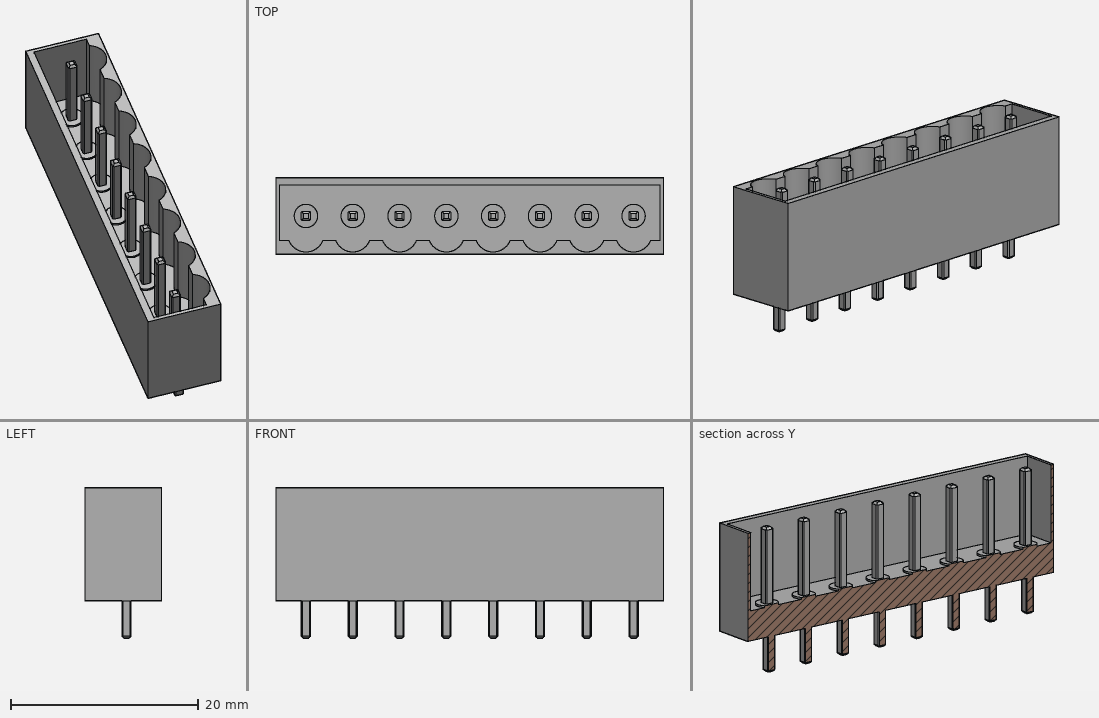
import cadquery as cq

HOUSING_LENGTH = 41.4
HOUSING_WIDTH = 8.2
HOUSING_HEIGHT = 12.1
END_WALL = 0.4
BACK_WALL = 0.8
FRONT_WALL = 1.5
FLOOR_THICKNESS = 3.4

PIN_COUNT = 8
PIN_PITCH = 5.0
PIN_ROW_Y = 4.1
LEG_ROW_Y = 3.75
PIN_SIZE = 1.0
PIN_EDGE_CHAMFER = 0.13
PIN_TIP_CHAMFER = 0.25
LEG_LENGTH = 4.0
PIN_BOTTOM_Z = 1.0
PIN_TOP_Z = HOUSING_HEIGHT
LEG_TOP_Z = 2.0

SCALLOP_RADIUS = 1.95
SCALLOP_WEB = 0.25

COLLAR_DIAMETER = 2.5
COLLAR_HEIGHT = 0.2

PIN_X = [(i - (PIN_COUNT - 1) / 2) * PIN_PITCH for i in range(PIN_COUNT)]


def at_each_pin(y, z):
    """Workplane at height z with a point beside every pin, all at the given Y."""
    return cq.Workplane("XY").workplane(offset=z).pushPoints([(x, y) for x in PIN_X])


def make_housing():
    cavity_depth = HOUSING_HEIGHT - FLOOR_THICKNESS
    cavity_length = HOUSING_LENGTH - 2 * END_WALL
    cavity_width = HOUSING_WIDTH - FRONT_WALL - BACK_WALL
    body = cq.Workplane("XY").box(
        HOUSING_LENGTH, HOUSING_WIDTH, HOUSING_HEIGHT, centered=(True, False, False)
    )
    cavity = (
        cq.Workplane("XY")
        .box(cavity_length, cavity_width, cavity_depth, centered=(True, False, False))
        .translate((0, FRONT_WALL, FLOOR_THICKNESS))
    )
    scallop_y = SCALLOP_WEB + SCALLOP_RADIUS
    scallops = at_each_pin(scallop_y, FLOOR_THICKNESS).circle(SCALLOP_RADIUS).extrude(cavity_depth)
    return body.cut(cavity).cut(scallops)


def make_collars():
    return at_each_pin(PIN_ROW_Y, FLOOR_THICKNESS).circle(COLLAR_DIAMETER / 2).extrude(COLLAR_HEIGHT)


def make_post(y, bottom_z, top_z):
    """Square post at X = 0 with lightly bevelled long edges and tapered ends."""
    blank = cq.Workplane("XY").box(PIN_SIZE, PIN_SIZE, top_z - bottom_z, centered=(True, True, False))
    tapered = blank.faces("<Z or >Z").chamfer(PIN_TIP_CHAMFER)
    bevelled = blank.edges("|Z").chamfer(PIN_EDGE_CHAMFER)
    return tapered.intersect(bevelled).translate((0, y, bottom_z))


def make_contact():
    """Mating pin joined inside the floor to its offset solder leg."""
    mating_pin = make_post(PIN_ROW_Y, PIN_BOTTOM_Z, PIN_TOP_Z)
    leg = make_post(LEG_ROW_Y, -LEG_LENGTH, LEG_TOP_Z)
    return mating_pin.union(leg)


result = make_housing().union(make_collars())
contact = make_contact()
for pin_x in PIN_X:
    result = result.union(contact.translate((pin_x, 0, 0)))